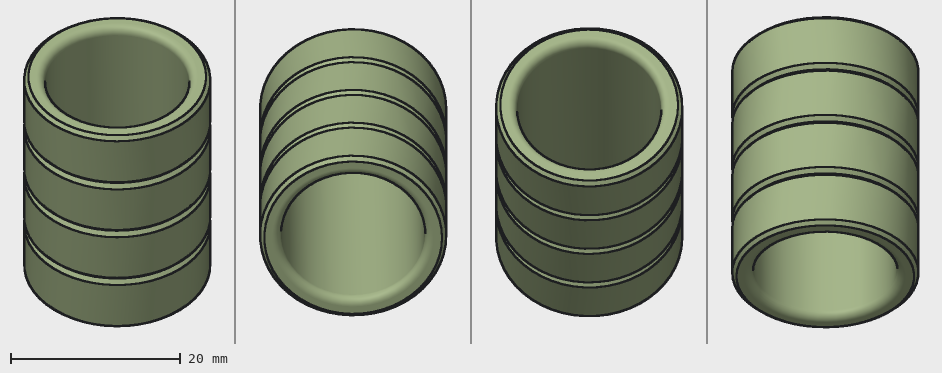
import cadquery as cq

length = 30.0
outer_diameter = 22.0
bore_diameter = 17.0
band_count = 4
edge_chamfer = 0.5
groove_depth = 0.5
groove_width = 1.15
bore_rounding = 1.0

outer_radius = outer_diameter / 2
band_pitch = length / band_count


def sleeve():
    """Plain tube with chamfered outer rims and rounded bore mouths."""
    body = cq.Workplane("XY").circle(outer_radius).extrude(length)
    body = body.faces("<Z or >Z").edges().chamfer(edge_chamfer)
    bore = cq.Workplane("XY").circle(bore_diameter / 2).extrude(length)
    return body.cut(bore).edges(cq.selectors.RadiusNthSelector(0)).fillet(bore_rounding)


def v_groove(height):
    """Ring of triangular section that cuts a V groove centred at the given height."""
    clearance = groove_depth
    root_radius = outer_radius - groove_depth
    mouth_radius = outer_radius + clearance
    flare = groove_width / 2 * (groove_depth + clearance) / groove_depth
    return (
        cq.Workplane("XZ")
        .moveTo(root_radius, height)
        .lineTo(mouth_radius, height + flare)
        .lineTo(mouth_radius, height - flare)
        .close()
        .revolve(360, (0, 0, 0), (0, 1, 0))
    )


result = sleeve()
for groove_number in range(1, band_count):
    result = result.cut(v_groove(groove_number * band_pitch))